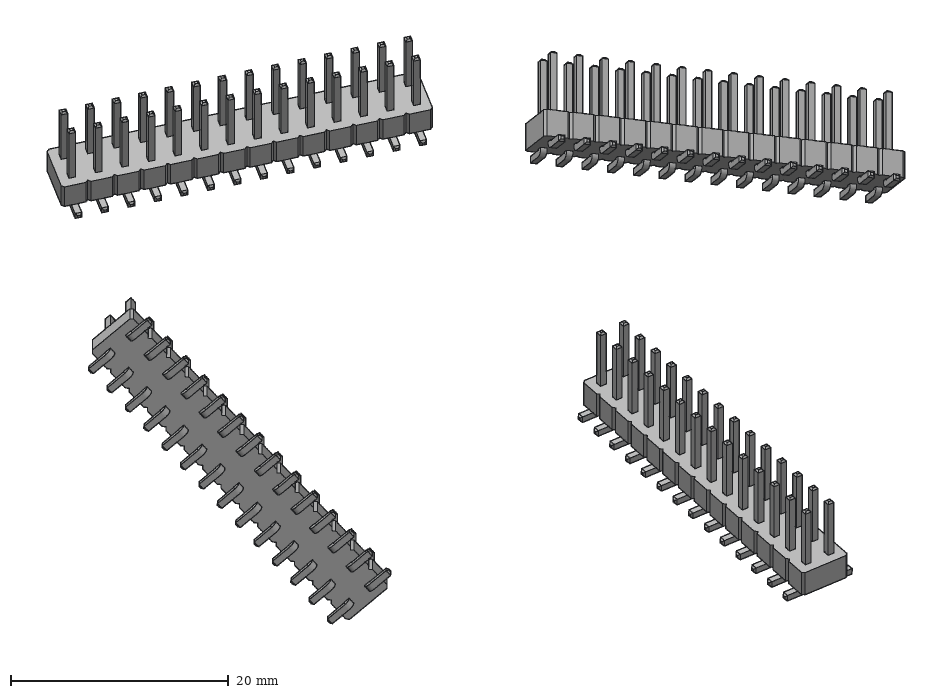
import cadquery as cq


length = 35.55
positions = 14
pitch = length / positions
body_width = 2 * pitch
body_height = 2.55
body_bottom = 0.75
corner_chamfer = 0.25

row_spacing = pitch
pin_size = 0.65
pin_top = 9.3
foot_span = 7.55
bend_radius = pin_size
tip_taper_length = 0.18
tip_taper_inset = 0.18


def body_segment(y):
    """One body position: a block with chamfered vertical corners."""
    return (
        cq.Workplane("XY", origin=(0, y, body_bottom))
        .rect(body_width, pitch)
        .extrude(body_height)
        .edges("|Z")
        .chamfer(corner_chamfer)
    )


def tapered_tip(plane):
    """Truncated pyramid that ends a square pin, growing along the plane normal."""
    end_size = pin_size - 2 * tip_taper_inset
    return (
        cq.Workplane(plane)
        .rect(pin_size, pin_size)
        .workplane(offset=tip_taper_length)
        .rect(end_size, end_size)
        .loft(ruled=True)
    )


def right_pin():
    """L-shaped pin at Y = 0 whose foot points toward +X."""
    inner_x = row_spacing / 2 - pin_size / 2
    outer_x = inner_x + pin_size
    post_end = pin_top - tip_taper_length
    foot_end = foot_span / 2 - tip_taper_length

    bent_bar = (
        cq.Workplane("XZ")
        .moveTo(inner_x, post_end)
        .lineTo(inner_x, bend_radius)
        .radiusArc((inner_x + bend_radius, 0), -bend_radius)
        .lineTo(foot_end, 0)
        .lineTo(foot_end, pin_size)
        .lineTo(outer_x, pin_size)
        .lineTo(outer_x, post_end)
        .close()
        .extrude(pin_size / 2, both=True)
    )
    post_end_plane = cq.Plane(origin=(row_spacing / 2, 0, post_end))
    foot_end_plane = cq.Plane(origin=(foot_end, 0, pin_size / 2), xDir=(0, 1, 0), normal=(1, 0, 0))
    return bent_bar.union(tapered_tip(post_end_plane)).union(tapered_tip(foot_end_plane))


pin = right_pin()
pin_pair = pin.union(pin.mirror("YZ"))

first_y = (pitch - length) / 2
result = cq.Workplane("XY")
for index in range(positions):
    y = first_y + index * pitch
    result = result.union(body_segment(y).union(pin_pair.translate((0, y, 0))))